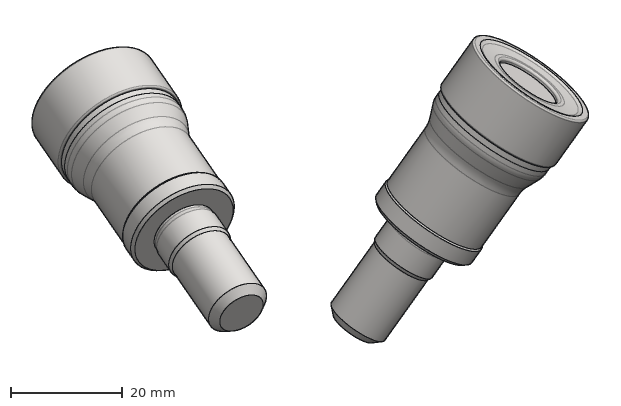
import cadquery as cq
import math

collar_length = 10.7
collar_skirt_end = 11.9
shoulder_bend_start = 12.95
shoulder_cone_start = 14.15
shoulder_cone_end = 16.7
barrel_start = 18.9
flange_start = 30.95
flange_end = 34.95
neck_end = 35.45
journal_start = 36.3
journal_end = 40.9
shank_start = 41.6
total_length = 57.0

shoulder_radius = 24.0 / 2
barrel_radius = 20.6 / 2
flange_radius = 21.0 / 2
neck_radius = 12.1 / 2
journal_radius = 12.5 / 2
shank_radius = 11.75 / 2

shoulder_angle = 21.9

flange_front_chamfer = 0.35
flange_rear_chamfer = 0.55
shank_tip_chamfer = 1.5

collar_radius = 25.0 / 2
collar_edge_fillet = 0.35
bore_radius = 12.5 / 2
lip_radius = 11.05
dish_outer_radius = 10.3
dish_inner_radius = 7.45
lip_depth = 0.35
dish_depth = 0.55
bore_fillet = 0.5
spigot_recess = 1.5


def revolve_about_x(profile):
    return profile.close().revolve(360, (0, 0, 0), (1, 0, 0))


def make_housing():
    """Turned housing: spigot, conical shoulder, barrel, flange and stepped shank."""
    half_angle_tangent = math.tan(math.radians(shoulder_angle) / 2)
    bend_drop = (shoulder_cone_start - shoulder_bend_start) * half_angle_tangent
    blend_drop = (barrel_start - shoulder_cone_end) * half_angle_tangent
    profile = (
        cq.Workplane("XY")
        .moveTo(spigot_recess, 0)
        .lineTo(spigot_recess, bore_radius)
        .lineTo(collar_skirt_end, bore_radius)
        .lineTo(collar_skirt_end, shoulder_radius)
        .lineTo(shoulder_bend_start, shoulder_radius)
        .tangentArcPoint((shoulder_cone_start, shoulder_radius - bend_drop), relative=False)
        .lineTo(shoulder_cone_end, barrel_radius + blend_drop)
        .tangentArcPoint((barrel_start, barrel_radius), relative=False)
        .lineTo(flange_start, barrel_radius)
        .lineTo(flange_start + flange_front_chamfer, flange_radius)
        .lineTo(flange_end - flange_rear_chamfer, flange_radius)
        .lineTo(flange_end, flange_radius - flange_rear_chamfer)
        .lineTo(flange_end, neck_radius)
        .lineTo(neck_end, neck_radius)
        .lineTo(journal_start, journal_radius)
        .lineTo(journal_end, journal_radius)
        .lineTo(shank_start, shank_radius)
        .lineTo(total_length - shank_tip_chamfer, shank_radius)
        .lineTo(total_length, shank_radius - shank_tip_chamfer)
        .lineTo(total_length, 0)
    )
    return revolve_about_x(profile)


def make_collar():
    """Ring around the spigot with a dished front face and a low skirt behind it."""
    edge_radius = collar_radius - collar_edge_fillet
    profile = (
        cq.Workplane("XY")
        .moveTo(0, lip_radius)
        .lineTo(0, edge_radius)
        .tangentArcPoint((collar_edge_fillet, collar_radius), relative=False)
        .lineTo(collar_length - collar_edge_fillet, collar_radius)
        .tangentArcPoint((collar_length, edge_radius), relative=False)
        .lineTo(collar_length, shoulder_radius)
        .lineTo(collar_skirt_end, shoulder_radius)
        .lineTo(collar_skirt_end, bore_radius)
        .lineTo(dish_depth + bore_fillet, bore_radius)
        .radiusArc((dish_depth, bore_radius + bore_fillet), bore_fillet)
        .lineTo(dish_depth, dish_inner_radius)
        .lineTo(lip_depth, dish_outer_radius)
        .tangentArcPoint((0, lip_radius), relative=False)
    )
    return revolve_about_x(profile)


housing = make_housing()
collar = make_collar()

result = cq.Compound.makeCompound([housing.val(), collar.val()])